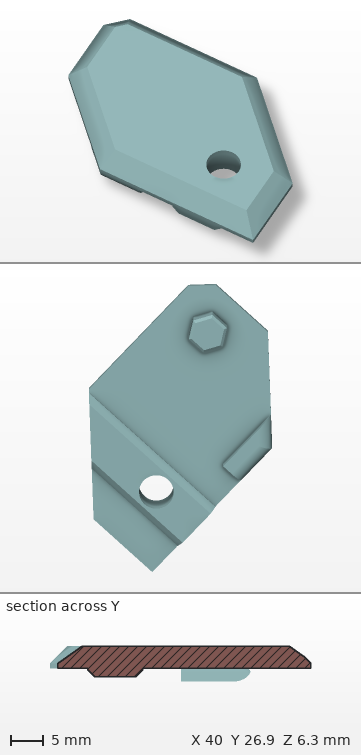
import cadquery as cq
import math

plate_length = 40.0
plate_width = 26.9
rim_height = 0.8
bevel = 2.7
plate_thickness = rim_height + bevel
front_left_cut = 13.0
back_left_cut = 3.0
back_right_cut = 14.6

hole_diameter = 5.3
hole_x = 30.0
hole_y = 8.45

rib_width = 8.5
rib_depth = 1.3
rib_chamfer = 1.1

peg_flats = 5.3
peg_corners = peg_flats / math.cos(math.radians(30))
peg_depth = 2.8
peg_chamfer = 0.4
peg_x = 6.0
peg_y = 20.0

foot_depth = 2.0
foot_radius = foot_depth
foot_right_x = 19.9
foot_back_y = 3.85
foot_notch = 0.3
foot_notch_straight = 0.15

overlap = 0.5


def make_plate_outline():
    return (
        cq.Workplane("XY")
        .moveTo(front_left_cut, 0)
        .lineTo(plate_length, 0)
        .lineTo(plate_length, plate_width - back_right_cut)
        .lineTo(plate_length - back_right_cut, plate_width)
        .lineTo(back_left_cut, plate_width)
        .lineTo(0, plate_width - back_left_cut)
        .lineTo(0, front_left_cut)
        .close()
    )


def make_plate():
    plate = make_plate_outline().extrude(plate_thickness)
    return plate.faces(">Z").edges().chamfer(bevel)


def make_rib():
    """Prism along Y with chamfered lower corners, trimmed to the plate outline."""
    half_width = rib_width / 2
    half_bottom = half_width - rib_chamfer
    bar = (
        cq.Workplane("XZ")
        .moveTo(hole_x - half_width, overlap)
        .lineTo(hole_x + half_width, overlap)
        .lineTo(hole_x + half_width, rib_chamfer - rib_depth)
        .lineTo(hole_x + half_bottom, -rib_depth)
        .lineTo(hole_x - half_bottom, -rib_depth)
        .lineTo(hole_x - half_width, rib_chamfer - rib_depth)
        .close()
        .extrude(-plate_width)
    )
    trim = make_plate_outline().extrude(rib_depth + overlap).translate((0, 0, -rib_depth))
    return bar.intersect(trim)


def make_peg():
    hexagon = cq.Workplane("XY").polygon(6, peg_corners).extrude(peg_depth + overlap)
    hexagon = hexagon.rotate((0, 0, 0), (0, 0, 1), 30)
    hexagon = hexagon.faces("<Z").edges().chamfer(peg_chamfer)
    return hexagon.translate((peg_x, peg_y, -peg_depth))


def make_foot():
    """Block flush with the plate rim, its two outer lower edges fully rounded."""
    foot = (
        cq.Workplane("XY")
        .workplane(offset=-foot_depth)
        .moveTo(front_left_cut, 0)
        .lineTo(foot_right_x, 0)
        .lineTo(foot_right_x, foot_back_y)
        .lineTo(front_left_cut - foot_back_y, foot_back_y)
        .close()
        .extrude(foot_depth + overlap)
    )
    front_edge = cq.selectors.NearestToPointSelector(
        ((front_left_cut + foot_right_x) / 2, 0, -foot_depth)
    )
    slanted_edge = cq.selectors.NearestToPointSelector(
        (front_left_cut - foot_back_y / 2, foot_back_y / 2, -foot_depth)
    )
    return foot.edges(front_edge + slanted_edge).fillet(foot_radius)


def make_foot_notch():
    """Small relief between the back of the foot and the plate underside."""
    notch_y = foot_back_y - foot_notch
    return (
        cq.Workplane("YZ")
        .moveTo(notch_y, 0)
        .lineTo(foot_back_y, 0)
        .lineTo(foot_back_y, -foot_notch_straight - foot_notch)
        .lineTo(notch_y, -foot_notch_straight)
        .close()
        .extrude(foot_right_x)
    )


def make_hole():
    return (
        cq.Workplane("XY")
        .workplane(offset=-rib_depth)
        .center(hole_x, hole_y)
        .circle(hole_diameter / 2)
        .extrude(rib_depth + plate_thickness)
    )


foot = make_foot().cut(make_foot_notch())
result = make_plate().union(make_rib()).union(make_peg()).union(foot).cut(make_hole())